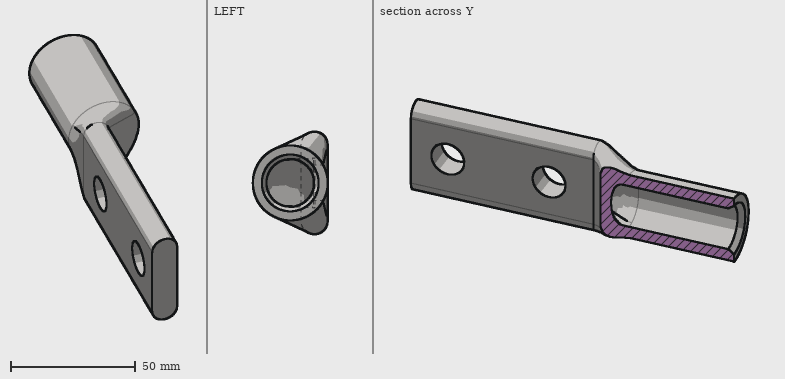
import cadquery as cq
import math

total_length = 142.9
barrel_length = 45.7
pad_start = 63.3
barrel_radius = 30.1 / 2
pad_thickness = 10.7
pad_height = 41.3

bore_radius = 9.6
mouth_radius = 11.5
mouth_depth = 2.6

cavity_end = 61.5
slot_thickness = 0.6
slot_height = 20.0

hole_diameter = 14.3
hole_positions = (82.6, 126.7)

outer_corner_angle = math.radians(29)
cavity_corner_angle = math.radians(75)
end_stiffness = 0.6
transition_steps = 6


def outline_points(half_depth, half_height, corner_height):
    """Corners and edge middles (Y, Z) around a pad or slot outline, starting at -Y, -Z."""
    return [
        (-half_depth, -corner_height), (-half_depth, 0),
        (-half_depth, corner_height), (0, half_height),
        (half_depth, corner_height), (half_depth, 0),
        (half_depth, -corner_height), (0, -half_height),
    ]


def circle_points(radius, corner_angle):
    """The matching eight points on a circle."""
    depth = radius * math.cos(corner_angle)
    height = radius * math.sin(corner_angle)
    return [
        (-depth, -height), (-radius, 0), (-depth, height), (0, radius),
        (depth, height), (radius, 0), (depth, -height), (0, -radius),
    ]


def section(x, points):
    """Closed outline at x: four arcs through the points, or lines where a side is flat."""
    places = [cq.Vector(x, y, z) for y, z in points]
    edges = []
    for i in range(0, len(places), 2):
        start = places[i]
        middle = places[i + 1]
        end = places[(i + 2) % len(places)]
        if (middle - start).cross(end - start).Length < 2.04e-06:
            edges.append(cq.Edge.makeLine(start, end))
        else:
            edges.append(cq.Edge.makeThreePointArc(start, middle, end))
    return cq.Wire.assembleEdges(edges)


def round_to_flat(end_x, radius, thickness, height, corner_angle):
    """Loft from a barrel circle to a round-edged flat outline, leaving and arriving along X."""
    edge_radius = thickness / 2
    round_end = circle_points(radius, corner_angle)
    flat_end = outline_points(edge_radius, height / 2, height / 2 - edge_radius)
    sections = []
    for step in range(transition_steps + 1):
        t = step / transition_steps
        blend = t * t * (3 - 2 * t)
        advance = blend + end_stiffness * t * (1 - t) * (1 - 2 * t)
        axis_y = barrel_radius + blend * (pad_thickness / 2 - barrel_radius)
        points = [
            (axis_y + y0 + blend * (y1 - y0), z0 + blend * (z1 - z0))
            for (y0, z0), (y1, z1) in zip(round_end, flat_end)
        ]
        sections.append(section(barrel_length + advance * (end_x - barrel_length), points))
    return cq.Workplane(obj=cq.Solid.makeLoft(sections))


def barrel_cylinder(radius):
    return (
        cq.Workplane("YZ").center(barrel_radius, 0)
        .circle(radius).extrude(barrel_length)
    )


pad = (
    cq.Workplane("YZ", origin=(pad_start, 0, 0)).center(pad_thickness / 2, 0)
    .slot2D(pad_height, pad_thickness, 90).extrude(total_length - pad_start)
)
transition = round_to_flat(pad_start, barrel_radius, pad_thickness, pad_height, outer_corner_angle)
body = barrel_cylinder(barrel_radius).union(transition).union(pad)

cavity = round_to_flat(cavity_end, bore_radius, slot_thickness, slot_height, cavity_corner_angle)
mouth = cq.Workplane(obj=cq.Solid.makeCone(
    mouth_radius, bore_radius, mouth_depth,
    pnt=cq.Vector(0, barrel_radius, 0), dir=cq.Vector(1, 0, 0),
))
body = body.cut(barrel_cylinder(bore_radius)).cut(cavity).cut(mouth)

bolt_holes = (
    cq.Workplane("XZ").pushPoints([(x, 0) for x in hole_positions])
    .circle(hole_diameter / 2).extrude(-pad_thickness)
)
result = body.cut(bolt_holes)